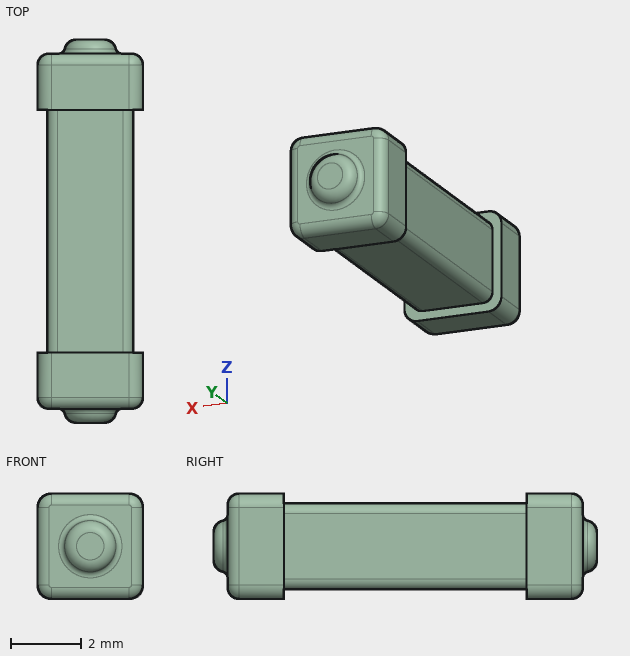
import cadquery as cq
import math

total_length = 10.9
cap_width = 3.0
cap_length = 1.6
cap_edge_radius = 0.4
cap_face_radius = 0.33

body_width = 2.45
body_edge_radius = 0.3

button_height = 0.4
crown_radius = 0.39
rim_radius = 0.35
foot_radius = 0.175

cap_outer_y = total_length / 2 - button_height
cap_inner_y = cap_outer_y - cap_length


def square_bar(width, edge_radius, start_y, end_y):
    """Square bar along Y with rounded long edges."""
    length = end_y - start_y
    bar = cq.Workplane("XY").box(width, length, width)
    bar = bar.edges("|Y").fillet(edge_radius)
    return bar.translate((0, (start_y + end_y) / 2, 0))


def make_cap():
    """Cap at the +Y end, rounded around its outer face."""
    cap = square_bar(cap_width, cap_edge_radius, cap_inner_y, cap_outer_y)
    return cap.faces(">Y").edges().fillet(cap_face_radius)


def make_button():
    """Revolved button at the +Y end; its rim and foot arcs meet tangentially."""
    rim_center_y = cap_outer_y + button_height - rim_radius
    foot_center_y = cap_outer_y + foot_radius

    center_rise = foot_center_y - rim_center_y
    tangent_angle = math.asin(center_rise / (rim_radius + foot_radius))
    foot_center_x = crown_radius + (rim_radius + foot_radius) * math.cos(tangent_angle)

    def rim_point(angle):
        return (
            crown_radius + rim_radius * math.cos(angle),
            rim_center_y + rim_radius * math.sin(angle),
        )

    def foot_point(angle):
        return (
            foot_center_x - foot_radius * math.cos(angle),
            foot_center_y - foot_radius * math.sin(angle),
        )

    crown_angle = math.pi / 2
    middle_angle = (tangent_angle + crown_angle) / 2
    profile = (
        cq.Workplane("XY")
        .moveTo(0, cap_inner_y)
        .lineTo(foot_center_x, cap_inner_y)
        .lineTo(*foot_point(crown_angle))
        .threePointArc(foot_point(middle_angle), rim_point(tangent_angle))
        .threePointArc(rim_point(middle_angle), rim_point(crown_angle))
        .lineTo(0, cap_outer_y + button_height)
        .close()
    )
    return profile.revolve(360, (0, 0, 0), (0, 1, 0))


body = square_bar(body_width, body_edge_radius, -cap_inner_y, cap_inner_y)
end_piece = make_cap().union(make_button())
result = body.union(end_piece).union(end_piece.mirror("XZ"))